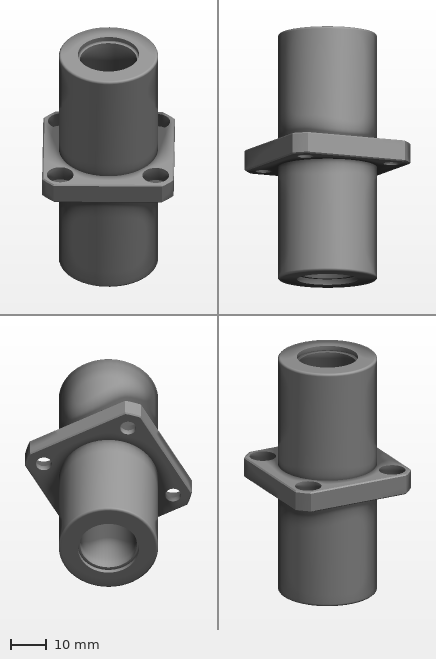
import cadquery as cq

length = 70.0
sleeve_diameter = 28.0
sleeve_edge = 0.7
bore_diameter = 16.0
recess_diameter = 17.2
recess_depth = 1.25
groove_diameter = 18.4
groove_width = 0.4

flange_thickness = 6.0
flange_side = 37.0
flange_diameter = 47.95
flange_edge = 0.35

hole_circle_diameter = 38.0
hole_diameter = 4.5
counterbore_diameter = 7.5
counterbore_depth = 4.1



def make_sleeve():
    """Solid cylinder centred on the origin, with rounded end rims."""
    sleeve = cq.Workplane("XY").circle(sleeve_diameter / 2).extrude(length / 2, both=True)
    return sleeve.faces("|Z").edges().fillet(sleeve_edge)


def make_flange():
    """Diamond plate trimmed to the flange diameter, with chamfered rims."""
    diamond = (
        cq.Workplane("XY")
        .transformed(rotate=(0, 0, 45))
        .rect(flange_side, flange_side)
        .extrude(flange_thickness / 2, both=True)
    )
    trim = cq.Workplane("XY").circle(flange_diameter / 2).extrude(flange_thickness / 2, both=True)
    return diamond.intersect(trim).faces("|Z").edges().chamfer(flange_edge)


def end_disc(diameter, start_depth, thickness):
    """Disc lying below the top end of the sleeve, from start_depth downwards."""
    return (
        cq.Workplane("XY")
        .workplane(offset=length / 2 - start_depth)
        .circle(diameter / 2)
        .extrude(-thickness)
    )


def cut_bore(body):
    """Through bore with a shallow recess and an undercut groove behind it at each end."""
    bore = end_disc(bore_diameter, 0, length)
    recess = end_disc(recess_diameter, 0, recess_depth)
    groove = end_disc(groove_diameter, recess_depth, groove_width)
    end_pocket = recess.union(groove)
    return body.cut(bore).cut(end_pocket).cut(end_pocket.mirror("XY"))


def cut_mounting_holes(body):
    """Four holes on the X and Y axes, counterbored from the upper flange face."""
    holes = (
        cq.Workplane("XY")
        .workplane(offset=flange_thickness / 2)
        .polarArray(hole_circle_diameter / 2, 0, 360, 4)
    )
    through = holes.circle(hole_diameter / 2).extrude(-flange_thickness)
    counterbores = holes.circle(counterbore_diameter / 2).extrude(-counterbore_depth)
    return body.cut(through).cut(counterbores)


result = cut_mounting_holes(cut_bore(make_sleeve().union(make_flange())))